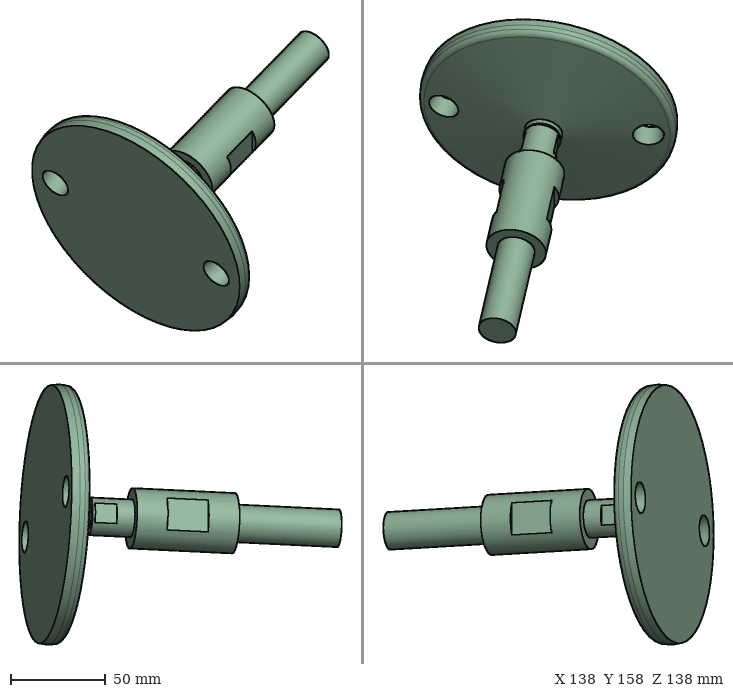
import cadquery as cq
import math


rim_diameter = 138.0
rim_radius = rim_diameter / 2
rim_height = 4.3
underside_radius = 68.4
shoulder_radius = 68.7
shoulder_height = 7.1
shoulder_round = 3.2
cone_top_radius = 10.1
cone_angle = 9.7
seat_radius = 8.8
seat_height = 22.0
seat_band = 0.5

hole_diameter = 16.5
hole_offset = 53.0
hole_reach = 31.6

total_height = 158
spindle_diameter = 20.0
spindle_radius = spindle_diameter / 2
waist_radius = 6.2
collar_bottom = 23.5
spindle_flat_bottom = 25.0
spindle_flat_length = 11.7
spindle_across_flats = 17.0

sleeve_diameter = 32.0
sleeve_bottom = 46.3
sleeve_length = 55.3
sleeve_flat_length = 22.1
sleeve_across_flats = 27.0


def cylinder(diameter, start, length):
    """Cylinder on the Y axis, from Y = start to Y = start + length."""
    return cq.Workplane("XZ", origin=(0, start, 0)).circle(diameter / 2).extrude(-length)


def cut_flats(body, diameter, across_flats, start, length):
    """Cut a pair of wrench flats facing -X and +X."""
    depth = (diameter - across_flats) / 2
    for side in (-1, 1):
        flat = cq.Workplane("XY").box(depth, length, diameter)
        body = body.cut(flat.translate((side * (across_flats + depth) / 2, start + length / 2, 0)))
    return body


def make_base():
    slope = math.radians(cone_angle)
    arc_center = shoulder_radius - shoulder_round
    arc_middle = (math.pi / 2 - slope) / 2
    arc_end = math.pi / 2 - slope

    def shoulder_point(angle):
        return (
            arc_center + shoulder_round * math.cos(angle),
            shoulder_height + shoulder_round * math.sin(angle),
        )

    cone_radius, cone_height = shoulder_point(arc_end)
    cone_top_height = cone_height + (cone_radius - cone_top_radius) * math.tan(slope)

    base = (
        cq.Workplane("XY")
        .moveTo(0, 0)
        .lineTo(underside_radius, 0)
        .lineTo(rim_radius, rim_height)
        .lineTo(shoulder_radius, shoulder_height)
        .threePointArc(shoulder_point(arc_middle), shoulder_point(arc_end))
        .lineTo(cone_top_radius, cone_top_height)
        .lineTo(seat_radius, seat_height - seat_band)
        .lineTo(seat_radius, seat_height)
        .lineTo(0, seat_height)
        .close()
        .revolve(360, (0, 0, 0), (0, 1, 0))
    )
    for side in (-1, 1):
        direction = cq.Vector(side * math.sin(slope), math.cos(slope), 0)
        start = cq.Vector(side * hole_offset, 0, 0) - direction * (hole_reach / 2)
        hole = cq.Solid.makeCylinder(hole_diameter / 2, 2 * hole_reach, start, direction)
        base = base.cut(cq.Workplane(obj=hole))
    return base


def make_spindle():
    spindle = (
        cq.Workplane("XY")
        .moveTo(0, seat_height)
        .lineTo(seat_radius, seat_height)
        .lineTo(waist_radius, collar_bottom)
        .lineTo(spindle_radius, collar_bottom)
        .lineTo(spindle_radius, total_height)
        .lineTo(0, total_height)
        .close()
        .revolve(360, (0, 0, 0), (0, 1, 0))
    )
    return cut_flats(
        spindle, spindle_diameter, spindle_across_flats, spindle_flat_bottom, spindle_flat_length
    )


def make_sleeve():
    sleeve = cylinder(sleeve_diameter, sleeve_bottom, sleeve_length)
    sleeve = sleeve.cut(cylinder(spindle_diameter, sleeve_bottom, sleeve_length))
    flat_start = sleeve_bottom + (sleeve_length - sleeve_flat_length) / 2
    return cut_flats(sleeve, sleeve_diameter, sleeve_across_flats, flat_start, sleeve_flat_length)


base = make_base()
spindle = make_spindle()
sleeve = make_sleeve()

result = cq.Compound.makeCompound([base.val(), spindle.val(), sleeve.val()])